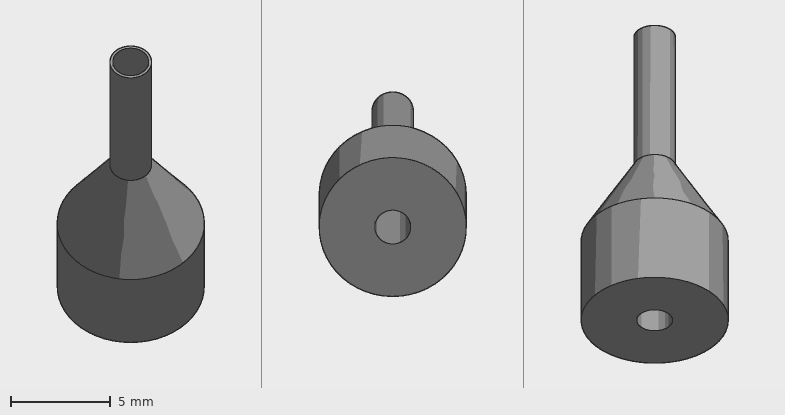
import cadquery as cq
import math

total_height = 17.5
collar_diameter = 7.4
tube_diameter = 2.1
bore_diameter = 1.8
tube_height = 8.0
cone_slope = 60.0

collar_radius = collar_diameter / 2
tube_radius = tube_diameter / 2
bore_radius = bore_diameter / 2
collar_height = total_height - tube_height
cone_height = (collar_radius - tube_radius) * math.tan(math.radians(cone_slope))
skirt_height = collar_height - cone_height


def make_collar():
    """Cylindrical skirt tapering to the tube diameter, with a through bore."""
    return (
        cq.Workplane("XZ")
        .moveTo(bore_radius, 0)
        .lineTo(collar_radius, 0)
        .lineTo(collar_radius, skirt_height)
        .lineTo(tube_radius, collar_height)
        .lineTo(bore_radius, collar_height)
        .close()
        .revolve(360, (0, 0, 0), (0, 1, 0))
    )


def make_tube():
    """Thin-walled tube standing on the narrow end of the collar."""
    return (
        cq.Workplane("XY", origin=(0, 0, collar_height))
        .circle(tube_radius)
        .circle(bore_radius)
        .extrude(tube_height)
    )


collar = make_collar()
tube = make_tube()

result = cq.Compound.makeCompound([collar.val(), tube.val()])